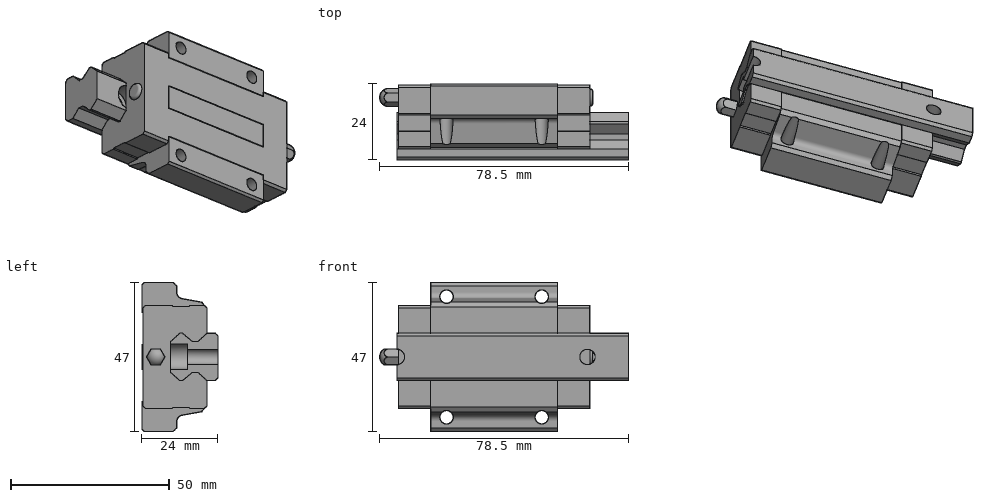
import cadquery as cq
import math


rail_length = 73.0
rail_height = 15.0
rail_width = 15.0
rail_half_width = rail_width / 2
rail_base_chamfer = 0.95
rail_shoulder_y = 3.5
rail_waist_half = 4.9
rail_waist_low_y = 6.35
rail_waist_high_y = 8.2
rail_head_low_y = 11.3
rail_head_high_y = 12.1
rail_bore_diameter = 4.8
rail_counterbore_diameter = 8.0
rail_counterbore_depth = 5.3
rail_bore_pitch = 60.0

total_height = 24.0
carriage_start_x = 0.5
carriage_length = 60.3
block_length = 39.95
block_bottom_y = 4.0
block_bottom_half = 15.7
flange_width = 47.0
flange_half_width = flange_width / 2
flange_thickness = 11.0
flange_top_chamfer = 0.7
flange_lower_chamfer = 1.2
flange_fillet = 2.0
side_root_half = 18.7
side_end_y = 5.2
side_end_half = 17.3
relief_depth = 0.3
relief_inner_z = 3.9
relief_outer_z = 14.0
mount_hole_diameter = 4.15
mount_hole_pitch_x = 30.0
mount_hole_pitch_z = 38.0

cap_length = (carriage_length - block_length) / 2
cap_bottom_y = rail_shoulder_y
cap_top_y = total_height - relief_depth
cap_half_width = 16.25
cap_chamfer = 0.8
cap_slot_depth = 0.3
cap_slot_low_y = 8.95
cap_slot_low_bevel = 0.2
cap_slot_high_y = 14.6
cap_slot_high_bevel = 0.4

port_y = 19.7
nipple_across_flats = 5.0
nipple_tip_x = -5.5
nipple_dome_radius = 2.9
plug_diameter = 5.4
plug_length = 0.95
plug_fillet = 0.9

block_start_x = carriage_start_x + cap_length
block_end_x = block_start_x + block_length
block_middle_x = block_start_x + block_length / 2
carriage_end_x = carriage_start_x + carriage_length


def mirrored_prism(half_outline, start_x, length):
    """Extrude along X a (y, z) half outline that is closed by its mirror image in Z = 0."""
    other_half = [(y, -z) for y, z in reversed(half_outline)]
    section = cq.Workplane("YZ", origin=(start_x, 0, 0)).polyline(half_outline + other_half).close()
    return section.extrude(length)


def rail_prism():
    half_outline = [
        (0, rail_half_width - rail_base_chamfer),
        (rail_base_chamfer, rail_half_width),
        (rail_shoulder_y, rail_half_width),
        (rail_waist_low_y, rail_waist_half),
        (rail_waist_high_y, rail_waist_half),
        (rail_head_low_y, rail_half_width),
        (rail_head_high_y, rail_half_width),
        (rail_height, rail_waist_half),
    ]
    return mirrored_prism(half_outline, 0, rail_length)


def cylinder_along_y(diameter, x, z, low_y, high_y):
    base = cq.Workplane("XZ", origin=(x, low_y, z))
    return base.circle(diameter / 2).extrude(-(high_y - low_y))


def make_rail():
    """Profiled rail; the first counterbored hole is halved by the cut end."""
    rail = rail_prism()
    counterbore_y = rail_height - rail_counterbore_depth
    for x in (0, rail_bore_pitch):
        rail = rail.cut(cylinder_along_y(rail_bore_diameter, x, 0, 0, rail_height))
        rail = rail.cut(cylinder_along_y(rail_counterbore_diameter, x, 0, counterbore_y, rail_height))
    return rail


def make_block():
    """Flanged middle of the carriage, with its face reliefs and mounting holes."""
    flange_lower_y = total_height - flange_thickness
    half_outline = [
        (block_bottom_y, block_bottom_half),
        (side_end_y, side_end_half),
        (flange_lower_y, side_root_half),
        (flange_lower_y, flange_half_width - flange_lower_chamfer),
        (flange_lower_y + flange_lower_chamfer, flange_half_width),
        (total_height - flange_top_chamfer, flange_half_width),
        (total_height, flange_half_width - flange_top_chamfer),
    ]
    block = mirrored_prism(half_outline, block_start_x, block_length)
    for side in (1, -1):
        root_point = (block_middle_x, flange_lower_y, side * side_root_half)
        block = block.edges(cq.selectors.NearestToPointSelector(root_point)).fillet(flange_fillet)

    relief_width = relief_outer_z - relief_inner_z
    relief_middle_z = (relief_outer_z + relief_inner_z) / 2
    for side in (1, -1):
        relief = cq.Workplane("XY").box(block_length, 2 * relief_depth, relief_width)
        block = block.cut(relief.translate((block_middle_x, total_height, side * relief_middle_z)))
        for end in (1, -1):
            hole_x = block_middle_x + end * mount_hole_pitch_x / 2
            hole_z = side * mount_hole_pitch_z / 2
            block = block.cut(cylinder_along_y(mount_hole_diameter, hole_x, hole_z, 0, total_height))
    return block


def make_cap(start_x):
    """End cap with a shallow, bevel-walled slot along each side."""
    slot_half = cap_half_width - cap_slot_depth
    half_outline = [
        (cap_bottom_y, cap_half_width - cap_chamfer),
        (cap_bottom_y + cap_chamfer, cap_half_width),
        (cap_slot_low_y, cap_half_width),
        (cap_slot_low_y + cap_slot_low_bevel, slot_half),
        (cap_slot_high_y - cap_slot_high_bevel, slot_half),
        (cap_slot_high_y, cap_half_width),
        (cap_top_y - cap_chamfer, cap_half_width),
        (cap_top_y, cap_half_width - cap_chamfer),
    ]
    return mirrored_prism(half_outline, start_x, cap_length)


def make_nipple():
    """Hexagonal grease nipple with a spherical tip, corners pointing along Y."""
    across_corners = nipple_across_flats / math.cos(math.pi / 6)
    nipple_length = carriage_start_x - nipple_tip_x
    hexagon = cq.Workplane("YZ", origin=(nipple_tip_x, port_y, 0)).polygon(6, across_corners)
    dome_center_x = nipple_tip_x + nipple_dome_radius
    dome = cq.Workplane("XY").sphere(nipple_dome_radius).translate((dome_center_x, port_y, 0))
    shank = (
        cq.Workplane("YZ", origin=(dome_center_x, port_y, 0))
        .circle(nipple_dome_radius)
        .extrude(carriage_start_x - dome_center_x)
    )
    return hexagon.extrude(nipple_length).intersect(dome.union(shank))


def make_plug():
    """Round plug head with a rounded outer rim."""
    base = cq.Workplane("YZ", origin=(carriage_end_x, port_y, 0))
    plug = base.circle(plug_diameter / 2).extrude(plug_length)
    return plug.faces(">X").edges().fillet(plug_fillet)


def make_carriage():
    """Block, end caps, nipple and plug as one body, with a channel that fits the rail."""
    carriage = make_block()
    for start_x in (carriage_start_x, block_end_x):
        carriage = carriage.union(make_cap(start_x))
    carriage = carriage.union(make_nipple()).union(make_plug())
    return carriage.cut(rail_prism())


rail = make_rail()
carriage = make_carriage()

result = cq.Compound.makeCompound([rail.val(), *carriage.vals()])